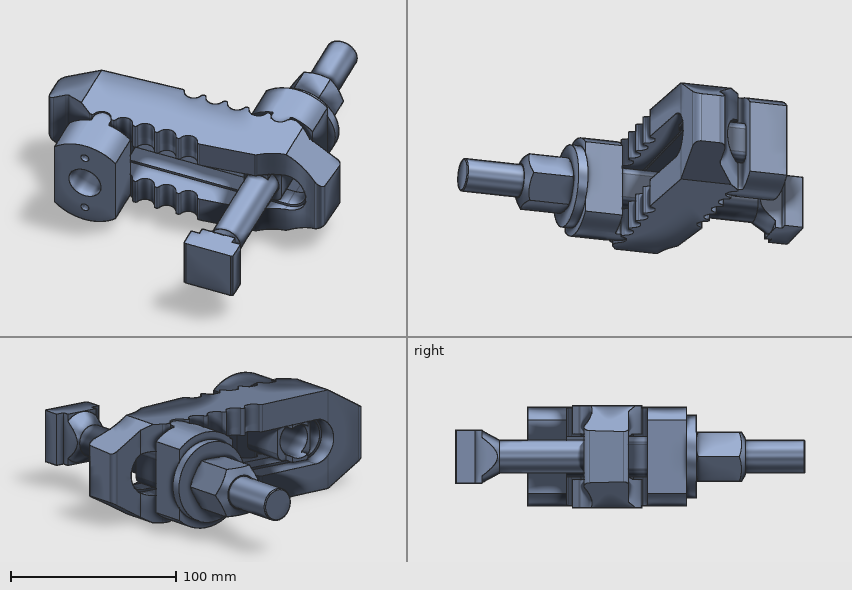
import cadquery as cq
import math


notch_pitch = 14.16
notch_count = 5
notch_depth = 5.2
notch_radius = 5.7
notch_half_chord = math.sqrt(notch_radius**2 - (notch_radius - notch_depth) ** 2)
arc_distance = (notch_pitch / 2) ** 2 / (2 * notch_depth) + notch_depth / 2
tooth_radius = arc_distance - notch_radius

block_diameter = 60.0
block_flats = 40.0
block_height = 23.5
block_bore = 21.0
nose_height = 8.7
nose_fillet = 1.0
boss_width = 24.5
boss_corner = 4.9
boss_height = 30.3
tongue_width = 11.7
tongue_height = 6.4
pin_hole_diameter = 5.0
pin_hole_spacing = 40.0
pin_hole_depth = 8.5
drill_point_angle = 118.0

lower_face_y = 67.5
upper_face_y = 116.5
upper_block_x = 0.0
block_pitches_apart = 7
lower_block_x = upper_block_x - block_pitches_apart * notch_pitch
lower_notch_floor = lower_face_y + nose_height
upper_notch_floor = upper_face_y - nose_height
lower_crest_y = lower_notch_floor - notch_depth
upper_crest_y = upper_notch_floor + notch_depth

lower_first_x = lower_block_x
lower_last_x = lower_first_x + (notch_count - 1) * notch_pitch
upper_last_x = upper_block_x
upper_first_x = upper_last_x - (notch_count - 1) * notch_pitch

arm_width = 62.0
arm_left = -143.0
arm_right = 44.0
left_top_y = 110.2
left_bottom_y = 89.9
left_corner_radius = 4.2
left_slope_x = -129.3
left_slope_end_x = -107.0
left_slope_fillet = 4.0
right_top_y = 105.0
right_slope_x = 23.0
right_slope_end_x = 11.0
right_tooth_fillet = 3.4
right_corner_radius = 3.0
toe_x = 42.8
toe_y = 78.0
toe_fillet = 3.4
heel_x = 0.0
heel_y = 75.0
heel_fillet = 3.2
hollow_crown_x = 21.0
hollow_crown_y = 82.79
hollow_end_x = 38.0
hollow_end_fillet = 3.4

pick_reach = 0.1

taper_length = 27.3
taper_angle = 30.0

slot_width = 27.8
slot_left = -120.0
slot_right = 30.0
ledge_width = 1.5
ledge_height = 12.0
ledge_bottom_y = 86.0

washer_diameter = 50.2
washer_height = 6.0
nut_flats = 29.9
nut_height = 29.9
nut_top_radius = 10.5
nut_bottom_radius = 15.5
nut_chamfer_angle = 30.0

stud_length = 212.0
stud_diameter = 20.0
stud_chamfer = 0.6
head_width = 32.2
head_height = 11.9
head_chamfer_x = 1.5
head_chamfer_y = 0.6
neck_width = 21.5
neck_top_y = 16.1
flare_top_y = 27.0
flare_radius = 16.0


def plane_at(y, x=0.0):
    """Workplane normal to Y; extrude a negative distance from it to go toward +Y."""
    return cq.Workplane("XZ", origin=(x, y, 0))


def turned(profile):
    """Solid of revolution about Y from an (x, y) half profile."""
    return cq.Workplane("XY").polyline(profile).close().revolve(360, (0, 0, 0), (0, 1, 0))


def serration_cutter(first_x, floor_y, toward_crest):
    """Cutter for a row of notches with rounded teeth left standing between them.

    toward_crest is +1 when the teeth point to +Y and -1 when they point to -Y.
    """
    crest_y = floor_y + toward_crest * notch_depth
    notch_y = floor_y + toward_crest * notch_radius
    tooth_y = crest_y - toward_crest * tooth_radius
    touch_share = notch_radius / arc_distance
    touch_x = touch_share * notch_pitch / 2
    touch_y = notch_y + touch_share * (tooth_y - notch_y)

    row = cq.Workplane("XY").moveTo(first_x - notch_half_chord, crest_y)
    for i in range(notch_count - 1):
        x = first_x + i * notch_pitch
        next_x = x + notch_pitch
        row = row.threePointArc((x, floor_y), (x + touch_x, touch_y))
        row = row.threePointArc((x + notch_pitch / 2, crest_y), (next_x - touch_x, touch_y))
    last_x = first_x + (notch_count - 1) * notch_pitch
    row = row.threePointArc((last_x, floor_y), (last_x + notch_half_chord, crest_y))
    clear_y = crest_y + toward_crest * notch_depth
    row = row.lineTo(last_x + notch_half_chord, clear_y).lineTo(first_x - notch_half_chord, clear_y)
    return row.close().extrude(arm_width / 2, both=True)


def fillet_upright(body, points, radius):
    """Fillet the edges along Z that pass through the given (x, y) points."""
    edges = []
    for x, y in points:
        low = (x - pick_reach, y - pick_reach, -arm_width)
        high = (x + pick_reach, y + pick_reach, arm_width)
        edges += body.edges("|Z").edges(cq.selectors.BoxSelector(low, high)).vals()
    return body.newObject(edges).fillet(radius)


def make_arm():
    left_slope_start = (left_slope_x, left_bottom_y)
    left_slope_end = (left_slope_end_x, lower_crest_y)
    right_slope_end = (right_slope_end_x, upper_crest_y)
    heel = (heel_x, heel_y)
    hollow_end = (hollow_end_x, toe_y)
    toe = (toe_x, toe_y)
    left_corners = [(arm_left, left_top_y), (arm_left, left_bottom_y)]
    top_right = (arm_right, right_top_y)

    lower_left_rim = (lower_first_x - notch_half_chord, lower_crest_y)
    lower_right_rim = (lower_last_x + notch_half_chord, lower_crest_y)
    upper_left_rim = (upper_first_x - notch_half_chord, upper_crest_y)
    upper_right_rim = (upper_last_x + notch_half_chord, upper_crest_y)

    body = (
        cq.Workplane("XY")
        .moveTo(*left_corners[0])
        .lineTo(*left_corners[1])
        .lineTo(*left_slope_start)
        .lineTo(*left_slope_end)
        .lineTo(*lower_right_rim)
        .lineTo(*heel)
        .threePointArc((hollow_crown_x, hollow_crown_y), hollow_end)
        .lineTo(*toe)
        .lineTo(*top_right)
        .lineTo(right_slope_x, right_top_y)
        .lineTo(*right_slope_end)
        .lineTo(*upper_left_rim)
        .lineTo(arm_left + taper_length, left_top_y)
        .close()
        .extrude(arm_width / 2, both=True)
    )

    body = body.cut(serration_cutter(lower_first_x, lower_notch_floor, -1))
    body = body.cut(serration_cutter(upper_first_x, upper_notch_floor, 1))

    outer_teeth = [lower_left_rim, lower_right_rim, left_slope_end, upper_left_rim]
    body = fillet_upright(body, outer_teeth, tooth_radius)
    body = fillet_upright(body, [upper_right_rim, right_slope_end], right_tooth_fillet)
    body = fillet_upright(body, left_corners, left_corner_radius)
    body = fillet_upright(body, [left_slope_start], left_slope_fillet)
    body = fillet_upright(body, [top_right], right_corner_radius)
    body = fillet_upright(body, [toe], toe_fillet)
    body = fillet_upright(body, [hollow_end], hollow_end_fillet)
    body = fillet_upright(body, [heel], heel_fillet)
    return body.intersect(arm_plan()).cut(arm_slot())


def arm_plan():
    """Long octagon that tapers both ends of the arm."""
    half_width = arm_width / 2
    half_end = half_width - taper_length * math.tan(math.radians(taper_angle))
    inner_left = arm_left + taper_length
    inner_right = arm_right - taper_length
    corners = [
        (arm_left, half_end),
        (inner_left, half_width),
        (inner_right, half_width),
        (arm_right, half_end),
        (arm_right, -half_end),
        (inner_right, -half_width),
        (inner_left, -half_width),
        (arm_left, -half_end),
    ]
    return plane_at(0).polyline(corners).close().extrude(-stud_length)


def arm_slot():
    """Round-ended slot with a ledge running all the way round inside it."""
    middle = (slot_left + slot_right) / 2
    length = slot_right - slot_left
    wide = plane_at(0, middle).slot2D(length, slot_width).extrude(-stud_length)
    ledge = (
        plane_at(ledge_bottom_y, middle)
        .slot2D(length, slot_width)
        .slot2D(length - 2 * ledge_width, slot_width - 2 * ledge_width)
        .extrude(-ledge_height)
    )
    return wide.cut(ledge)


def make_block():
    """Pressure block with its outer face at Y = 0 and its nose and boss toward +Y."""
    puck = plane_at(0).circle(block_diameter / 2).extrude(-block_height)
    puck = puck.intersect(plane_at(0).rect(block_flats, block_diameter).extrude(-block_height))

    round_y = block_height + nose_height - notch_radius
    foot_y = block_height + nose_fillet
    foot_x = notch_radius + nose_fillet
    fillet_mid = nose_fillet * (1 - math.sqrt(0.5))
    nose = (
        cq.Workplane("XY")
        .moveTo(-foot_x, block_height)
        .threePointArc((-notch_radius - fillet_mid, block_height + fillet_mid), (-notch_radius, foot_y))
        .lineTo(-notch_radius, round_y)
        .threePointArc((0, block_height + nose_height), (notch_radius, round_y))
        .lineTo(notch_radius, foot_y)
        .threePointArc((notch_radius + fillet_mid, block_height + fillet_mid), (foot_x, block_height))
        .close()
        .extrude(block_diameter / 2, both=True)
    )
    nose = nose.intersect(plane_at(0).circle(block_diameter / 2).extrude(-block_height - nose_height))

    boss = plane_at(block_height).rect(boss_width, boss_width).extrude(-boss_height)
    boss = boss.edges("|Y").fillet(boss_corner)
    boss_end = block_height + boss_height
    tongue = plane_at(boss_end).rect(tongue_width, boss_width).extrude(-tongue_height)

    bore = plane_at(0).circle(block_bore / 2).extrude(-boss_end - tongue_height)
    block = puck.union(nose).union(boss).union(tongue).cut(bore)
    for z in (-pin_hole_spacing / 2, pin_hole_spacing / 2):
        block = block.cut(pin_hole(z))
    return block


def pin_hole(z):
    """Blind hole with a drill point, entering from Y = 0."""
    radius = pin_hole_diameter / 2
    point = radius / math.tan(math.radians(drill_point_angle / 2))
    profile = [(0, 0), (radius, 0), (radius, pin_hole_depth), (0, pin_hole_depth + point)]
    return turned(profile).translate((0, 0, z))


def make_washer(bottom_y):
    return plane_at(bottom_y).circle(washer_diameter / 2).circle(block_bore / 2).extrude(-washer_height)


def make_nut(bottom_y):
    """Hexagon nut with corners on the X axis, turned conical at both ends."""
    corner_radius = nut_flats / math.sqrt(3)
    slope = math.tan(math.radians(nut_chamfer_angle))
    top_drop = (corner_radius - nut_top_radius) * slope
    bottom_rise = (corner_radius - nut_bottom_radius) * slope
    hexagon = plane_at(0).polygon(6, 2 * corner_radius).extrude(-nut_height)
    profile = [
        (0, 0),
        (nut_bottom_radius, 0),
        (corner_radius, bottom_rise),
        (corner_radius, nut_height - top_drop),
        (nut_top_radius, nut_height),
        (0, nut_height),
    ]
    bore = plane_at(0).circle(stud_diameter / 2).extrude(-nut_height)
    return hexagon.intersect(turned(profile)).cut(bore).translate((0, bottom_y, 0))


def make_stud():
    """Stud with a T-head, a flat-sided flare above it and a chamfered top end."""
    half_head = head_width / 2
    head = (
        cq.Workplane("XY")
        .moveTo(-half_head + head_chamfer_x, 0)
        .lineTo(half_head - head_chamfer_x, 0)
        .lineTo(half_head, head_chamfer_y)
        .lineTo(half_head, head_height)
        .lineTo(-half_head, head_height)
        .lineTo(-half_head, head_chamfer_y)
        .close()
        .extrude(half_head, both=True)
    )
    neck = plane_at(head_height).rect(neck_width, head_width).extrude(head_height - neck_top_y)

    radius = stud_diameter / 2
    flare_profile = [(0, neck_top_y), (flare_radius, neck_top_y), (radius, flare_top_y), (0, flare_top_y)]
    flare_sides = plane_at(neck_top_y).rect(neck_width, head_width).extrude(neck_top_y - flare_top_y)
    flare = turned(flare_profile).intersect(flare_sides)

    shank = plane_at(flare_top_y).circle(radius).extrude(flare_top_y - stud_length)
    shank = shank.faces(">Y").chamfer(stud_chamfer)
    return head.union(neck).union(flare).union(shank)


arm = make_arm()

lower_block = make_block().translate((lower_block_x, lower_face_y - block_height, 0))
block_top_y = upper_face_y + block_height
upper_block = make_block().rotate((0, 0, 0), (0, 0, 1), 180).translate((upper_block_x, block_top_y, 0))
blocks = [lower_block, upper_block]

washer = make_washer(block_top_y)
nut = make_nut(block_top_y + washer_height)
stud = make_stud()

result = cq.Compound.makeCompound(
    [arm.val(), *[block.val() for block in blocks], washer.val(), nut.val(), stud.val()]
)